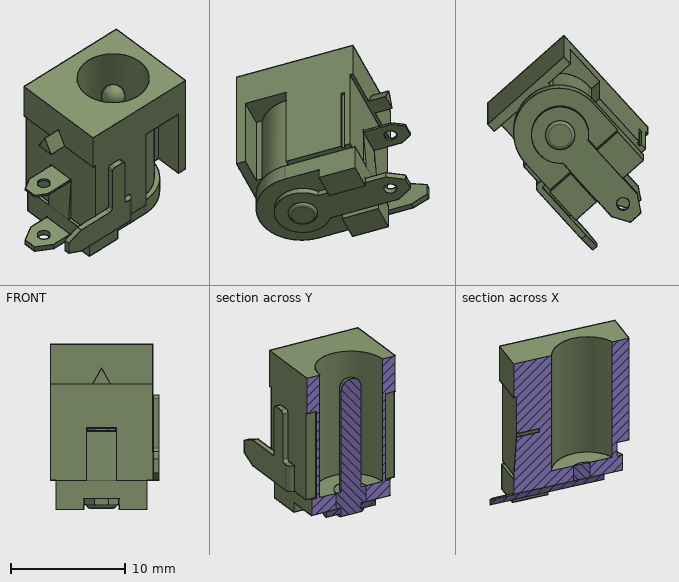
import cadquery as cq


total_height = 14.5
base_bottom = 0.95
base_top = 2.57
back_wall_bottom = 3.93
head_bottom = 10.99

housing_width = 8.99
half_width = housing_width / 2
back_y = 4.5
front_y = -6.5
body_front_y = -6.22
body_back_y = -0.19
back_wall_thickness = 0.85
web_width = 3.83

barrel_center_y = 0.12
barrel_radius = 3.52
base_radius = 4.0
foot_back_y = -3.1
foot_notch_width = 3.1

bore_radius = 3.16

key_width = 1.6
key_height = 1.42
key_length = 1.61
groove_back_y = -5.36
groove_width = 0.32
groove_depth = 0.22
groove_top = 9.0

tab_tip_y = -9.9
tab_taper_y = -8.42
lug_width = 3.02
lug_thickness = 0.54
tip_width = 1.23
lug_hole_radius = 0.57
lug_hole_y = -8.25
lug_disc_radius = 2.51

pin_radius = 1.03
pin_tip = 13.38
collar_radius = 1.51
rivet_radius = 1.29
rivet_height = 0.3
rivet_round = 0.28

contact_bottom = 6.92
contact_thickness = 0.2
contact_width = 2.5
slot_clearance = 0.06
slot_bottom = contact_bottom - slot_clearance
slot_height = contact_thickness + 2 * slot_clearance
slot_width = 2.64
slot_depth = 2.18

side_gap = 0.05
side_outer_x = 5.06
side_thickness = side_outer_x - half_width - side_gap
side_back_y = -2.19
side_tab_top = 5.08
side_tip_height = 1.22
side_insert_depth = 0.87
horn_top = 10.05
horn_back_y = -3.22
horn_front_y = -4.71
horn_round = 0.3


def block(x0, x1, y0, y1, z0, z1):
    """Box between two opposite corners."""
    return cq.Workplane("XY").box(x1 - x0, y1 - y0, z1 - z0, centered=False).translate((x0, y0, z0))


def centered_block(width, y0, y1, z0, z1):
    """Box that is symmetric about the YZ plane."""
    return block(-width / 2, width / 2, y0, y1, z0, z1)


def cylinder(radius, z0, z1, y=0.0):
    """Upright cylinder on the YZ plane."""
    return cq.Workplane("XY", origin=(0, y, z0)).circle(radius).extrude(z1 - z0)


def make_shell():
    """Square head, front body, round barrel, and the back wall joined to the barrel by a web."""
    wall_front_y = back_y - back_wall_thickness
    head = centered_block(housing_width, front_y, back_y, head_bottom, total_height)
    body = centered_block(housing_width, body_front_y, body_back_y, base_top, head_bottom)
    barrel = cylinder(barrel_radius, base_top, head_bottom, barrel_center_y)
    barrel_neck = centered_block(2 * barrel_radius, body_back_y, barrel_center_y, base_top, head_bottom)
    wall = centered_block(housing_width, wall_front_y, back_y, back_wall_bottom, head_bottom)
    web = centered_block(web_width, barrel_center_y, wall_front_y, back_wall_bottom, head_bottom)
    return head.union(body).union(barrel).union(barrel_neck).union(wall).union(web)


def make_base():
    """Round-backed base plate with a foot on each side of the pin lug."""
    plate = cylinder(base_radius, base_bottom, base_top, barrel_center_y)
    plate = plate.union(centered_block(2 * base_radius, front_y, barrel_center_y, base_bottom, base_top))
    feet = centered_block(2 * base_radius, front_y, foot_back_y, 0, base_bottom)
    notch = centered_block(foot_notch_width, front_y, foot_back_y, 0, base_bottom)
    return plate.union(feet.cut(notch))


def make_key():
    """Triangular prism on the front of the head."""
    return (
        cq.Workplane("XZ", origin=(0, body_front_y, head_bottom))
        .polyline([(-key_width / 2, 0), (key_width / 2, 0), (0, key_height)])
        .close()
        .extrude(body_front_y - front_y + key_length)
    )


def make_ramp():
    """Wedge under the switch contact, running out flush with the base front."""
    return (
        cq.Workplane("YZ")
        .polyline([(body_front_y, base_top), (front_y, base_top), (body_front_y, slot_bottom)])
        .close()
        .extrude(slot_width / 2, both=True)
    )


def make_housing(pin, side_terminal):
    """Housing with its bore and slots, hollowed to seat the pin and the side terminal."""
    housing = make_shell().union(make_base()).union(make_key()).union(make_ramp())
    bore = cylinder(bore_radius, base_top, total_height)
    groove = block(
        -half_width, -half_width + groove_depth, groove_back_y - groove_width, groove_back_y,
        base_top, groove_top,
    )
    contact_slot = centered_block(
        slot_width, body_front_y, body_front_y + slot_depth, slot_bottom, slot_bottom + slot_height
    )
    return housing.cut(bore).cut(groove).cut(contact_slot).cut(pin).cut(side_terminal)


def make_pin():
    """Round-nosed contact pin with a collar in the base and a rivet head under the lug."""
    lug_bottom = base_bottom - lug_thickness
    shank = cylinder(pin_radius, lug_bottom, pin_tip - pin_radius)
    nose = cq.Workplane("XY").sphere(pin_radius).translate((0, 0, pin_tip - pin_radius))
    collar = cylinder(collar_radius, base_bottom, base_top)
    rivet = cylinder(rivet_radius, lug_bottom - rivet_height, lug_bottom).faces("<Z").edges().fillet(rivet_round)
    return shank.union(nose).union(collar).union(rivet)


def make_tab(width, back, bottom, thickness):
    """Flat solder tab with a tapered tip and a wire hole."""
    taper_slope = (tab_taper_y - tab_tip_y) / (lug_width - tip_width)
    taper_y = tab_tip_y + taper_slope * (width - tip_width)
    outline = [
        (-width / 2, back), (-width / 2, taper_y), (-tip_width / 2, tab_tip_y),
        (tip_width / 2, tab_tip_y), (width / 2, taper_y), (width / 2, back),
    ]
    tab = cq.Workplane("XY", origin=(0, 0, bottom)).polyline(outline).close().extrude(thickness)
    return tab.cut(cylinder(lug_hole_radius, bottom, bottom + thickness, lug_hole_y))


def make_lug():
    """Solder tab riveted under the base by the pin."""
    bottom = base_bottom - lug_thickness
    disc = cylinder(lug_disc_radius, bottom, base_bottom)
    tab = make_tab(lug_width, 0, bottom, lug_thickness)
    return disc.union(tab).cut(cylinder(pin_radius, bottom, base_bottom))


def make_contact():
    """Thin solder tab seated against the end of its slot."""
    return make_tab(contact_width, body_front_y + slot_depth, contact_bottom, contact_thickness)


def make_side_terminal():
    """Upright plate beside the housing, with a horn on top and its back end bent into the side."""
    inner_x = half_width + side_gap
    bend_y = side_back_y - side_thickness
    tip_center = (base_top + side_tab_top) / 2
    plate = (
        cq.Workplane("YZ", origin=(inner_x, 0, 0))
        .moveTo(bend_y, base_top)
        .lineTo(tab_taper_y, base_top)
        .lineTo(tab_tip_y, tip_center - side_tip_height / 2)
        .lineTo(tab_tip_y, tip_center + side_tip_height / 2)
        .lineTo(tab_taper_y, side_tab_top)
        .lineTo(horn_front_y, side_tab_top)
        .lineTo(horn_front_y, horn_top)
        .lineTo(horn_back_y, horn_top)
        .lineTo(horn_back_y, side_tab_top)
        .lineTo(bend_y, side_tab_top)
        .close()
        .extrude(side_thickness)
    )
    horn_edges = cq.selectors.BoxSelector(
        (inner_x - horn_round, horn_front_y - horn_round, side_tab_top - horn_round),
        (side_outer_x + horn_round, horn_back_y + horn_round, horn_top + horn_round),
    )
    plate = plate.edges("|X").edges(horn_edges).fillet(horn_round)
    bend = (
        cq.Workplane("XY", origin=(inner_x, bend_y, base_top))
        .circle(side_thickness)
        .extrude(side_tab_top - base_top)
        .intersect(block(inner_x, side_outer_x, bend_y, side_back_y, base_top, side_tab_top))
    )
    insert = block(half_width - side_insert_depth, inner_x, bend_y, side_back_y, base_top, side_tab_top)
    return plate.union(bend).union(insert)


pin = make_pin()
lug = make_lug()
contact = make_contact()
side_terminal = make_side_terminal()
housing = make_housing(pin, side_terminal)

result = cq.Compound.makeCompound(
    [housing.val(), pin.val(), lug.val(), contact.val(), side_terminal.val()]
)